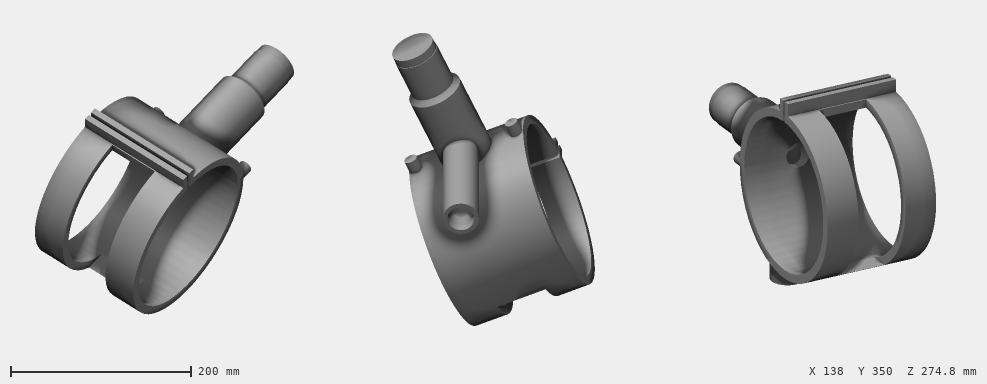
import cadquery as cq

ring_width = 138.0
ring_radius = 100.0
wall = 10.0
bore_radius = ring_radius - wall

ear_top = 114.8
ear_thickness = 7.0
split_width = 4.2
ear_span = split_width + 2 * ear_thickness

window_width = 60.0
window_front = -10.0
window_floor = -85.5

pin_diameter = 15.0
pin_end = 115.0
pin_inset = 8.0
pin_spacing = ring_width - 2 * pin_inset

overall_length = 350.0
pipe_end = overall_length - ring_radius
pipe_radius = 30.8
neck_radius = 25.2
shoulder_start = 188.0
shoulder_end = 194.0

cap_radius = 24.5
cap_length = 10.0
cap_start = pipe_end - cap_length

branch_radius = 20.0
branch_y = 114.8
branch_bottom = -160.0

passage_radius = 15.0


def x_cylinder(radius):
    """Cylinder along X across the full width of the ring."""
    return cq.Workplane("YZ", origin=(-ring_width / 2, 0, 0)).circle(radius).extrude(ring_width)


def y_cylinder(radius, end, x=0):
    """Cylinder along +Y from the ring axis plane."""
    return cq.Workplane("XZ").center(x, 0).circle(radius).extrude(-end)


def branch_cylinder(radius):
    """Cylinder from the pipe axis down to the open end of the branch."""
    return (
        cq.Workplane("XY")
        .center(0, branch_y)
        .circle(radius)
        .extrude(branch_bottom)
    )


def make_ring():
    ears = cq.Workplane("XY").box(ring_width, ear_span, ear_top, centered=(True, True, False))
    ring = x_cylinder(ring_radius).union(ears)
    for x in (-pin_spacing / 2, pin_spacing / 2):
        ring = ring.union(y_cylinder(pin_diameter / 2, pin_end, x))
    return ring


def make_pipe():
    profile = [
        (0, 0),
        (pipe_radius, 0),
        (pipe_radius, shoulder_start),
        (neck_radius, shoulder_end),
        (neck_radius, cap_start),
        (0, cap_start),
    ]
    pipe = cq.Workplane("XY").polyline(profile).close().revolve(360, (0, 0, 0), (0, 1, 0))
    return pipe.union(branch_cylinder(branch_radius))


def make_window():
    """Cutter for everything in front of window_front and above window_floor."""
    return (
        cq.Workplane("XY", origin=(0, window_front, window_floor))
        .box(window_width, ring_radius, ring_radius - window_floor, centered=(True, False, False))
        .translate((0, -ring_radius, 0))
    )


def make_clamp():
    """Ring, pipe and branch in one piece, with the bore and passages cut through."""
    split = cq.Workplane("XY").box(ring_width, split_width, ear_top, centered=(True, True, False))
    return (
        make_ring()
        .union(make_pipe())
        .cut(x_cylinder(bore_radius))
        .cut(split)
        .cut(make_window())
        .cut(y_cylinder(passage_radius, cap_start))
        .cut(branch_cylinder(passage_radius))
    )


def make_end_cap():
    """Disc that closes the far end of the pipe."""
    return cq.Workplane("XZ", origin=(0, cap_start, 0)).circle(cap_radius).extrude(-cap_length)


clamp = make_clamp()
end_cap = make_end_cap()
result = cq.Compound.makeCompound([clamp.val(), end_cap.val()])